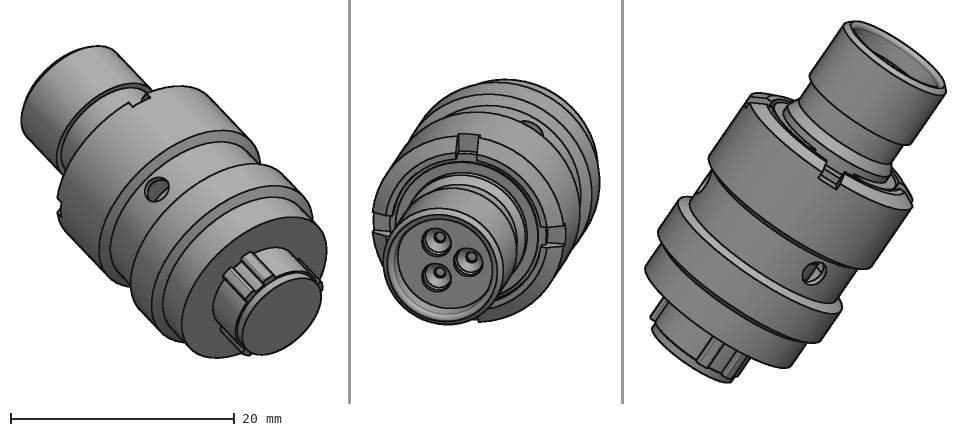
import cadquery as cq

nose_radius = 5.5
nose_length = 6.0
nose_chamfer = 0.45
bore_radius = 4.5
bore_depth = 2.0
bore_lip_radius = 0.45
neck_radius = 5.0
shoulder_radius = 5.55
shoulder_cone_start = 8.47
shoulder_cone_end = 9.47

outer_radius = 8.8
barrel_radius = 7.9
collar_front = 10.07
collar_bevel_length = 0.7
collar_bevel_radius = 7.45
collar_bore_radius = 6.87
collar_bore_depth = 0.7
collar_end = 17.88
edge_chamfer_length = 0.5
inner_body_radius = 7.15

grip_start = 21.83
grip_end = 26.1
barrel_end = 29.05

spigot_radius = 4.5
spigot_end = 32.57
tip_radius = 4.3
total_length = 33.37
key_outer_radius = 5.0
key_width = 1.2
key_edge_fillet = 0.24
key_angles = (10, 37.6, 137.5, 173.5, 273)

slot_width = 1.93
slot_depth = 1.33
slot_count = 4

clip_radius = 6.53
clip_setback = 0.1
clip_thickness = 0.2
clip_gap = 4.05
clip_corner_radius = 0.8

radial_hole_diameter = 2.35
radial_hole_x = 19.45
radial_hole_angles = (30, 150, 270)

cavity_start = collar_end
cavity_end = 21.6
cavity_radius = 7.3
core_radius = 4.55
core_step_x = 19.85
core_step_radius = 4.75

contact_count = 3
contact_circle_radius = 1.93
contact_radius = 1.33
contact_wall_depth = 0.5
contact_step_radius = 1.2
contact_step_depth = 0.8
contact_throat_radius = 0.5
contact_cone_depth = 1.4
contact_end_radius = 0.42
contact_depth = 1.6


def turn_about_axis(solid, angle):
    """Turn a solid about X so that +Z moves towards -Y by the given angle."""
    return solid.rotate((0, 0, 0), (1, 0, 0), angle)


def revolve_about_axis(profile):
    """Revolve a closed XY profile about X."""
    return profile.close().revolve(360, (0, 0, 0), (1, 0, 0))


def cylinder(radius, start, length):
    return cq.Workplane("YZ").workplane(offset=start).circle(radius).extrude(length)


def turned_body():
    lip_flat_radius = bore_radius + bore_lip_radius
    collar_floor = collar_front + collar_bore_depth
    profile = (
        cq.Workplane("XY")
        .moveTo(bore_depth, 0)
        .lineTo(bore_depth, bore_radius)
        .lineTo(bore_lip_radius, bore_radius)
        .radiusArc((0, lip_flat_radius), bore_lip_radius)
        .lineTo(0, nose_radius - nose_chamfer)
        .lineTo(nose_chamfer, nose_radius)
        .lineTo(nose_length, nose_radius)
        .lineTo(nose_length, neck_radius)
        .lineTo(shoulder_cone_start, neck_radius)
        .lineTo(shoulder_cone_end, shoulder_radius)
        .lineTo(collar_floor, shoulder_radius)
        .lineTo(collar_floor, collar_bore_radius)
        .lineTo(collar_front, collar_bore_radius)
        .lineTo(collar_front, collar_bevel_radius)
        .lineTo(collar_front + collar_bevel_length, outer_radius)
        .lineTo(collar_end - edge_chamfer_length, outer_radius)
        .lineTo(collar_end, barrel_radius)
        .lineTo(grip_start, barrel_radius)
        .lineTo(grip_start + edge_chamfer_length, outer_radius)
        .lineTo(grip_end - edge_chamfer_length, outer_radius)
        .lineTo(grip_end, barrel_radius)
        .lineTo(barrel_end, barrel_radius)
        .lineTo(barrel_end, spigot_radius)
        .lineTo(spigot_end, spigot_radius)
        .lineTo(spigot_end, tip_radius)
        .lineTo(total_length, tip_radius)
        .lineTo(total_length, 0)
    )
    return revolve_about_axis(profile)


def spigot_keys():
    """Keys along the spigot, with rounded outer edges."""
    length = spigot_end - barrel_end
    key_rim = cylinder(key_outer_radius, barrel_end, length)
    blade = (
        cq.Workplane("XY")
        .box(length, key_width, key_outer_radius, (False, True, False))
        .translate((barrel_end, 0, 0))
    )
    key = blade.intersect(key_rim).edges("|X").edges(">Z").fillet(key_edge_fillet)
    keys = cq.Workplane("XY")
    for angle in key_angles:
        keys = keys.add(turn_about_axis(key, angle))
    return keys.combine()


def retaining_clip():
    """C-shaped clip, open at the bottom with rounded ends."""
    clip_front = collar_front + clip_setback
    disc = cylinder(clip_radius, clip_front, clip_thickness)
    opening = (
        cq.Workplane("XY")
        .box(clip_thickness, clip_gap, clip_radius, (False, True, False))
        .translate((clip_front, 0, -clip_radius))
    )
    return disc.cut(opening).edges("|X").edges("<Z").fillet(clip_corner_radius)


def wrench_slots():
    """Radial slots that stop at the inner body."""
    slots = cq.Workplane("XY")
    for index in range(slot_count):
        slot = (
            cq.Workplane("XY")
            .box(slot_depth, slot_width, outer_radius, (False, True, False))
            .translate((collar_front, 0, clip_radius))
        )
        slots = slots.add(turn_about_axis(slot, index * 360 / slot_count))
    slots = slots.combine()
    floor_start = collar_front + collar_bore_depth
    inner_body = cylinder(inner_body_radius, floor_start, slot_depth)
    front_core = cylinder(collar_bore_radius, collar_front, collar_bore_depth)
    return slots.cut(inner_body).cut(front_core)


def radial_holes():
    """Holes from the outside into the ring-shaped cavity."""
    holes = cq.Workplane("XY")
    hole_length = outer_radius - core_step_radius
    for angle in radial_hole_angles:
        hole = cq.Workplane("XY").circle(radial_hole_diameter / 2).extrude(hole_length)
        hole = hole.translate((radial_hole_x, 0, core_step_radius))
        holes = holes.add(turn_about_axis(hole, angle))
    return holes.combine()


def ring_cavity():
    """Space between the collar wall and the stepped core."""
    profile = (
        cq.Workplane("XY")
        .moveTo(cavity_start, core_radius)
        .lineTo(core_step_x, core_radius)
        .lineTo(core_step_x, core_step_radius)
        .lineTo(cavity_end, core_step_radius)
        .lineTo(cavity_end, cavity_radius)
        .lineTo(cavity_start, cavity_radius)
    )
    return revolve_about_axis(profile)


def contact_sockets():
    """Stepped sockets with a conical bottom, the first one towards -Y."""
    profile = (
        cq.Workplane("XY")
        .moveTo(0, 0)
        .lineTo(0, contact_radius)
        .lineTo(contact_wall_depth, contact_radius)
        .lineTo(contact_step_depth, contact_step_radius)
        .lineTo(contact_cone_depth, contact_throat_radius)
        .lineTo(contact_depth, contact_end_radius)
        .lineTo(contact_depth, 0)
    )
    socket = revolve_about_axis(profile).translate((bore_depth, -contact_circle_radius, 0))
    sockets = cq.Workplane("XY")
    for index in range(contact_count):
        sockets = sockets.add(turn_about_axis(socket, index * 360 / contact_count))
    return sockets.combine()


result = turned_body().union(spigot_keys()).union(retaining_clip())
result = result.cut(wrench_slots()).cut(ring_cavity()).cut(radial_holes()).cut(contact_sockets())